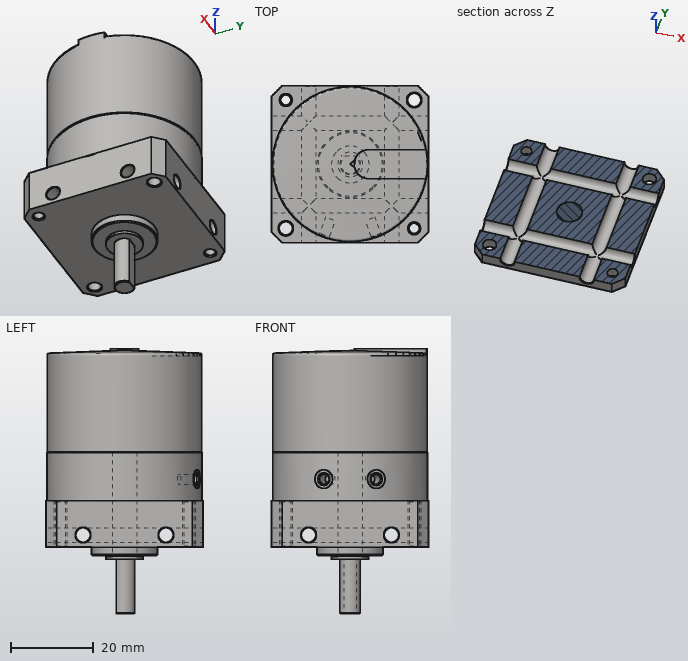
import cadquery as cq
import math

flange_side = 38
flange_height = 11.2
flange_corner_cut = 2.65

corner_hole_offset = 15.5
clearance_dia = 3.2
clearance_mouth_dia = 3.7
tapped_dia = 2.46
tapped_mouth_dia = 3.1

cross_hole_offset = 10
cross_hole_height = 2.9
cross_hole_dia = 3.5
cross_hole_mouth_dia = 3.8

body_dia = 37.5
body_top = 22.8
port_angle = 20
port_height = 16.4
port_seat_dia = 4.5
port_seat_radius = 18.5
port_depth = 4.5

boss_dia = 16
boss_length = 2.1
boss_chamfer = 0.3

spindle_dia = 6
collar_dia = 9
collar_gap = 0.15
collar_end = 3
shaft_dia = 5
shaft_end = 16.1
shaft_chamfer = 0.25
shaft_flat_distance = 2

cover_dia = 37.4
cover_edge_top = 46.85
cover_apex = 47.55
cover_edge_fillet = 0.6
cover_bottom_chamfer = 0.2

pointer_top = 47.9
pointer_width = 7
pointer_tip = 1

overrun = 1


def cylinder(dia, bottom, top):
    """Solid cylinder on the Z axis between two heights."""
    return cq.Workplane("XY").workplane(offset=bottom).circle(dia / 2).extrude(top - bottom)


def hole_cutter(dia, length, mouth_dia):
    """Bore along +Z from the origin that starts with a 45 degree conical mouth."""
    mouth_depth = (mouth_dia - dia) / 2
    profile = [
        (0, 0),
        (mouth_dia / 2, 0),
        (dia / 2, mouth_depth),
        (dia / 2, length),
        (0, length),
    ]
    return cq.Workplane("XZ").polyline(profile).close().revolve(360, (0, 0), (0, 1))


def through_cutter(dia, length, mouth_dia):
    """Bore along +Z from the origin with a conical mouth at both ends."""
    one_way = hole_cutter(dia, length, mouth_dia)
    return one_way.union(one_way.rotate((0, 0, length / 2), (1, 0, length / 2), 180))


def make_flange():
    flange = (
        cq.Workplane("XY")
        .rect(flange_side, flange_side)
        .extrude(flange_height)
        .edges("|Z")
        .chamfer(flange_corner_cut)
    )
    tapped = through_cutter(tapped_dia, flange_height, tapped_mouth_dia)
    clearance = through_cutter(clearance_dia, flange_height, clearance_mouth_dia)
    for side in (-1, 1):
        x = side * corner_hole_offset
        flange = flange.cut(clearance.translate((x, x, 0)))
        flange = flange.cut(tapped.translate((x, -x, 0)))

    cross = through_cutter(cross_hole_dia, flange_side, cross_hole_mouth_dia)
    cross = cross.translate((0, 0, -flange_side / 2))
    for axis in ((1, 0, 0), (0, 1, 0)):
        lying = cross.rotate((0, 0, 0), axis, 90)
        for side in (-1, 1):
            shift = side * cross_hole_offset
            place = (axis[0] * shift, axis[1] * shift, cross_hole_height)
            flange = flange.cut(lying.translate(place))
    return flange


def port_cutter(angle):
    """Radial port with a flat round seat; the angle turns it about Z away from -Y."""
    bore = hole_cutter(tapped_dia, port_depth, tapped_mouth_dia)
    seat = cylinder(port_seat_dia, -overrun, 0)
    cutter = bore.union(seat)
    return (
        cutter.rotate((0, 0, 0), (1, 0, 0), -90)
        .translate((0, -port_seat_radius, port_height))
        .rotate((0, 0, 0), (0, 0, 1), angle)
    )


def make_housing():
    housing = make_flange()
    housing = housing.union(cylinder(body_dia, flange_height, body_top))
    housing = housing.union(cylinder(boss_dia, -boss_length, 0).faces("<Z").chamfer(boss_chamfer))
    housing = housing.cut(cylinder(spindle_dia, -boss_length, body_top))
    for angle in (-port_angle, port_angle):
        housing = housing.cut(port_cutter(angle))
    return housing


def make_shaft():
    output_end = cylinder(shaft_dia, -shaft_end, -collar_end).faces("<Z").chamfer(shaft_chamfer)
    beyond_flat = (
        cq.Workplane("XY")
        .box(shaft_dia, shaft_dia, shaft_end, centered=(True, False, False))
        .translate((0, shaft_flat_distance, -shaft_end))
    )
    collar_top = -boss_length - collar_gap
    collar = cylinder(collar_dia, -collar_end, collar_top)
    spindle = cylinder(spindle_dia, collar_top, body_top)
    return output_end.cut(beyond_flat).union(collar).union(spindle)


def make_cover():
    radius = cover_dia / 2
    fillet = cover_edge_fillet
    arc_reach = fillet * (1 - math.sqrt(0.5))
    arc_mid = (radius - arc_reach, cover_edge_top - arc_reach)
    cover = (
        cq.Workplane("XZ")
        .moveTo(0, body_top)
        .lineTo(radius - cover_bottom_chamfer, body_top)
        .lineTo(radius, body_top + cover_bottom_chamfer)
        .lineTo(radius, cover_edge_top - fillet)
        .threePointArc(arc_mid, (radius - fillet, cover_edge_top))
        .lineTo(0, cover_apex)
        .close()
        .revolve(360, (0, 0), (0, 1))
    )
    pointer_bottom = cover_edge_top - fillet
    nose_radius = pointer_width / 2
    nose_centre = pointer_tip + nose_radius
    pointer = (
        cq.Workplane("XY")
        .workplane(offset=pointer_bottom)
        .moveTo(radius + overrun, -nose_radius)
        .lineTo(nose_centre, -nose_radius)
        .threePointArc((pointer_tip, 0), (nose_centre, nose_radius))
        .lineTo(radius + overrun, nose_radius)
        .close()
        .extrude(pointer_top - pointer_bottom)
        .intersect(cylinder(cover_dia, pointer_bottom, pointer_top))
    )
    return cover.union(pointer)


housing = make_housing()
rotor = make_cover().union(make_shaft())
result = cq.Compound.makeCompound([housing.val(), rotor.val()])